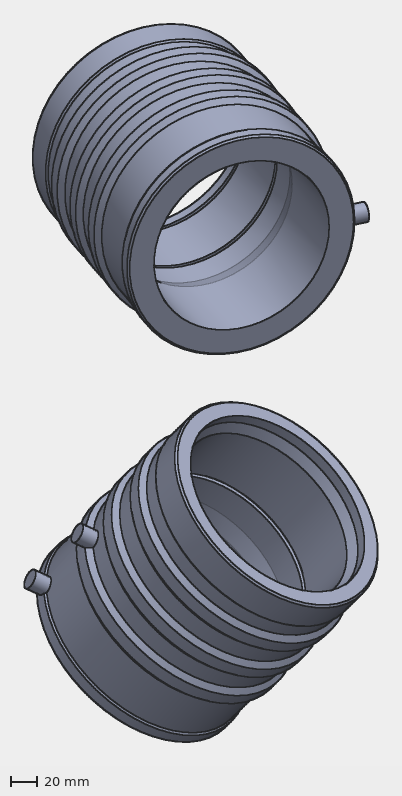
import cadquery as cq

length = 187.0
barrel_radius = 184.0 / 2
collar_radius = 187.1 / 2
ridge_radius = 193.0 / 2

front_collar_end = 28.5
rear_collar_start = 174.5
collar_chamfer = 1.6

ridge_count = 3
first_ridge_start = 41.1
ridge_pitch = 35.8
ridge_flank = 4.5
ridge_crest = 11.0

mouth_radius = 160 / 2
socket_radius = 151.9 / 2
outlet_radius = 143.8 / 2
mouth_depth = 9.0
mouth_taper_end = 17.8
groove_start = 72.7
groove_width = 3.5
groove_depth = 4.0
outlet_taper_start = 100.5
outlet_taper_length = 14.2

pin_radius = 15.8 / 2
pin_tip_y = 202.5 - ridge_radius
pin_positions = (113.2, 176.2)
pin_root_y = (socket_radius + barrel_radius) / 2


def revolved(points):
    """Revolve an (axial, radial) outline around the X axis."""
    return cq.Workplane("XY").polyline(points).close().revolve(360, (0, 0, 0), (1, 0, 0))


def collar(start, end):
    """Solid disc with both rims chamfered."""
    chamfered_radius = collar_radius - collar_chamfer
    return revolved([
        (start, 0),
        (start, chamfered_radius),
        (start + collar_chamfer, collar_radius),
        (end - collar_chamfer, collar_radius),
        (end, chamfered_radius),
        (end, 0),
    ])


def ridge(start):
    """Solid disc with a flat crest and flanks that slope down to the barrel."""
    crest_start = start + ridge_flank
    crest_end = crest_start + ridge_crest
    end = crest_end + ridge_flank
    return revolved([
        (start, 0),
        (start, barrel_radius),
        (crest_start, ridge_radius),
        (crest_end, ridge_radius),
        (end, barrel_radius),
        (end, 0),
    ])


def bore():
    """Stepped and tapered passage through the whole sleeve."""
    groove_radius = socket_radius + groove_depth
    groove_end = groove_start + groove_width
    return revolved([
        (0, 0),
        (0, mouth_radius),
        (mouth_depth, mouth_radius),
        (mouth_taper_end, socket_radius),
        (groove_start, socket_radius),
        (groove_start, groove_radius),
        (groove_end, groove_radius),
        (groove_end, socket_radius),
        (outlet_taper_start, socket_radius),
        (outlet_taper_start + outlet_taper_length, outlet_radius),
        (length, outlet_radius),
        (length, 0),
    ])


def pin(x):
    """Round terminal rooted inside the sleeve wall and pointing along +Y."""
    plane = cq.Plane(origin=(x, pin_root_y, 0), xDir=(1, 0, 0), normal=(0, 1, 0))
    return cq.Workplane(plane).circle(pin_radius).extrude(pin_tip_y - pin_root_y)


barrel_start = front_collar_end - collar_chamfer
barrel_end = rear_collar_start + collar_chamfer
body = cq.Workplane("YZ", origin=(barrel_start, 0, 0))
body = body.circle(barrel_radius).extrude(barrel_end - barrel_start)
body = body.union(collar(0, front_collar_end))
body = body.union(collar(rear_collar_start, length))
for index in range(ridge_count):
    body = body.union(ridge(first_ridge_start + index * ridge_pitch))
body = body.cut(bore())
for position in pin_positions:
    body = body.union(pin(position))

result = body